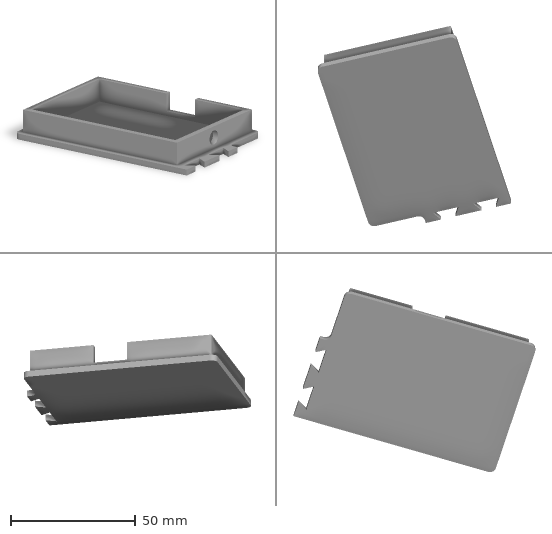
import cadquery as cq
import math

plate_length = 80.5
plate_width = 58.0
plate_thickness = 2.5
corner_radius = 2.5

total_height = 12.0
rim_margin = 2.5
wall = 2.5
box_length = plate_length - 2 * rim_margin
box_width = plate_width - 2 * rim_margin
wall_height = total_height - plate_thickness

strip_depth = 4.0
strip_width = 35.7
strip_fillet = 2.5
socket_mouth = 6.15
socket_pitch = 16.85
dovetail_angle = 30.0
socket_root = socket_mouth + 2 * strip_depth * math.tan(math.radians(dovetail_angle))

notch_width = 14.0
notch_center_x = 44.7
notch_floor_z = 4.5

hole_diameter = 6.0
hole_center_y = 28.5
hole_center_z = plate_thickness + wall_height / 2


def make_plate():
    """Plate with three rounded corners and the strip joined to its right edge."""
    body = cq.Workplane("XY").box(plate_length, plate_width, plate_thickness, centered=False)
    body = body.edges("|Z and (<X or >Y)").fillet(corner_radius)
    strip = (
        cq.Workplane("XY")
        .box(plate_length / 2 + strip_depth, strip_width, plate_thickness, centered=False)
        .translate((plate_length / 2, 0, 0))
    )
    body = body.union(strip)
    inner_corner = cq.selectors.NearestToPointSelector((plate_length, strip_width, plate_thickness / 2))
    return body.edges("|Z").edges(inner_corner).fillet(strip_fillet)


def make_socket(center_y):
    """Dovetail cutter, widest at the plate edge and narrowest at the strip tip."""
    tip_x = plate_length + strip_depth
    return (
        cq.Workplane("XY")
        .polyline([
            (plate_length, center_y - socket_root / 2),
            (tip_x, center_y - socket_mouth / 2),
            (tip_x, center_y + socket_mouth / 2),
            (plate_length, center_y + socket_root / 2),
        ])
        .close()
        .extrude(plate_thickness)
    )


def make_walls():
    """Rectangular ring of walls, open at the top."""
    return (
        cq.Workplane("XY", origin=(plate_length / 2, plate_width / 2, plate_thickness))
        .rect(box_length, box_width)
        .rect(box_length - 2 * wall, box_width - 2 * wall)
        .extrude(wall_height)
    )


def make_notch():
    """Cutter for the opening in the top of the back wall."""
    back_wall_y = plate_width - rim_margin - wall / 2
    return (
        cq.Workplane("XY", origin=(notch_center_x, back_wall_y, notch_floor_z))
        .rect(notch_width, wall)
        .extrude(total_height - notch_floor_z)
    )


def make_hole():
    """Cutter for the round hole through the right wall."""
    inner_face_x = plate_length - rim_margin - wall
    return (
        cq.Workplane("YZ", origin=(inner_face_x, hole_center_y, hole_center_z))
        .circle(hole_diameter / 2)
        .extrude(wall)
    )


plate = make_plate()
for side in (-1, 1):
    plate = plate.cut(make_socket(strip_width / 2 + side * socket_pitch / 2))

result = plate.union(make_walls()).cut(make_notch()).cut(make_hole())